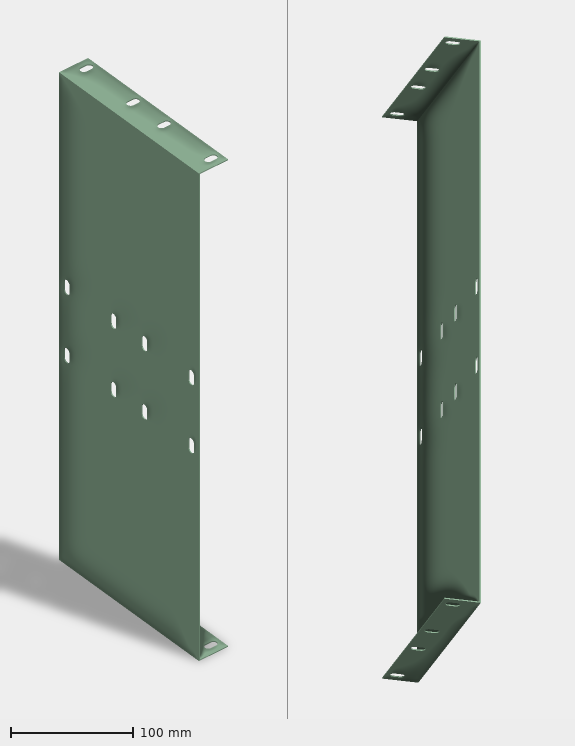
import cadquery as cq

width = 180.0
depth = 31.0
height = 496.5
thickness = 1.0

inner_column = 20.0
outer_column = 80.0
columns = [-outer_column, -inner_column, inner_column, outer_column]
slot_width = 7.0
web_slot_length = 15.0
web_slot_height = 35.0
flange_slot_length = 12.5
flange_slot_edge_distance = 10.0


def make_channel():
    """Sharp-cornered channel of constant sheet thickness, centred on X and Z."""
    outer = cq.Workplane("XY").box(width, depth, height, centered=(True, False, True))
    inner = (
        cq.Workplane("XY")
        .box(width, depth, height - 2 * thickness, centered=(True, False, True))
        .translate((0, thickness, 0))
    )
    return outer.cut(inner)


def web_slots():
    """Two mirrored rows of upright slots through the web."""
    centres = [(x, z) for x in columns for z in (-web_slot_height, web_slot_height)]
    return (
        cq.Workplane("XZ")
        .pushPoints(centres)
        .slot2D(web_slot_length, slot_width, 90)
        .extrude(depth, both=True)
    )


def flange_slots():
    """One row of slots through both flanges."""
    row = depth - flange_slot_edge_distance
    return (
        cq.Workplane("XY")
        .pushPoints([(x, row) for x in columns])
        .slot2D(flange_slot_length, slot_width, 90)
        .extrude(height, both=True)
    )


result = make_channel().cut(web_slots()).cut(flange_slots())